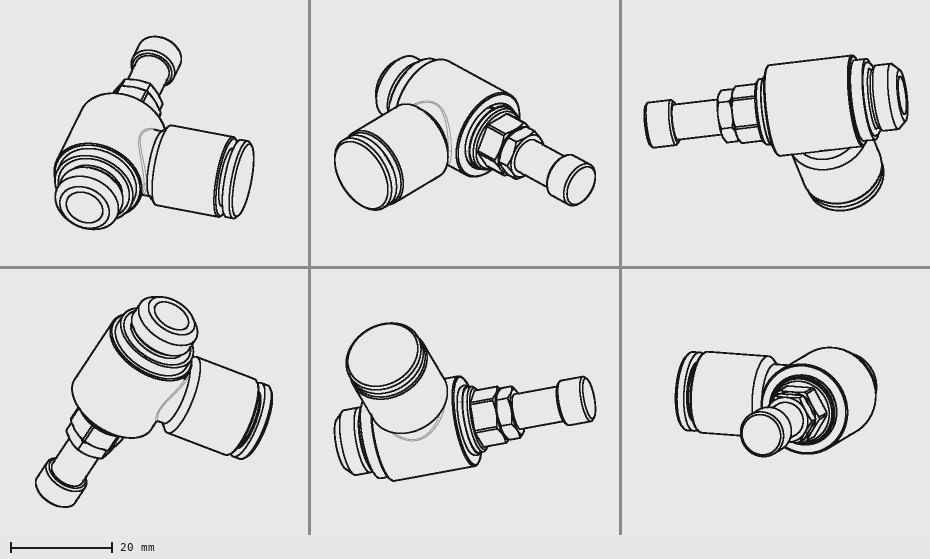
import cadquery as cq
import math


SLEEVE_DIA = 18.0
SLEEVE_START = 8.75
SLEEVE_END = 25.9
SLEEVE_CHAMFER = 0.25
BORE_DIA = 10.2

BRANCH_Y = (SLEEVE_START + SLEEVE_END) / 2
NECK_DIA = 13.05
NECK_END = 9.55
SOCKET_DIA = 16.0
SOCKET_END = 24.05
SOCKET_CHAMFER = 0.3
GROOVE_DIA = 11.6
GROOVE_CONE_DIA = 11.95
GROOVE_CONE_START = 25.1
RELEASE_DIA = 15.5
RELEASE_START = 25.35
RELEASE_CHAMFER = 0.5
OVERALL_WIDTH = 36.25
BRANCH_END = OVERALL_WIDTH - SLEEVE_DIA / 2
ROOT_FILLET = 0.4

THREAD_DIA = 13.0
TIP_DIA = 10.15
TIP_LENGTH = 1.55
THREAD_END = 4.55
LEAD_OUT_END = 5.2
UNDERCUT_DIA = 11.65
SEAL_DIA = 14.6
FLANGE_DIA = 16.0
FLANGE_START = 6.3
FLANGE_END = 8.65

INLET_DIA = 7.5
INLET_DEPTH = 10.2
ORIFICE_DIA = 4.5
ORIFICE_END = 15.3

COLLAR_DIA = 13.05
COLLAR_START = 27.0
COLLAR_END = 28.3
COLLAR_CHAMFER = 0.4
RING_DIA = 14.0
RING_EDGE_DIA = 13.45
RING_GAP = 0.45

BODY_HEX_FLATS = 10.0
BODY_HEX_CORNER_DIA = 11.25
BODY_HEX_END = 33.25
NUT_FLATS = 9.0
NUT_END = 36.2
HEX_CHAMFER_ANGLE = 30.0
HEX_HALF_ANGLE = 30.0

SHANK_DIA = 7.0
KNOB_DIA = 9.0
KNOB_START = 45.55
KNOB_END = 51.0
KNOB_CHAMFER = 0.45


def rod(diameter, start, end):
    """Cylinder on the stem axis between two Y stations (the XZ plane faces -Y)."""
    return cq.Workplane("XZ", origin=(0, start, 0)).circle(diameter / 2).extrude(start - end)


def branch_rod(diameter, start, end):
    """Cylinder on the branch axis between two X stations."""
    return cq.Workplane("YZ", origin=(start, BRANCH_Y, 0)).circle(diameter / 2).extrude(end - start)


def chamfered_hex(flats, corner_dia, start, end, both_ends):
    """Hexagonal prism with corners on +X and -X, cut by a turned, chamfered envelope."""
    sharp_dia = flats / math.cos(math.radians(HEX_HALF_ANGLE))
    prism = cq.Workplane("XZ", origin=(0, start, 0)).polygon(6, sharp_dia).extrude(start - end)
    face_radius = flats / 2
    corner_radius = corner_dia / 2
    drop = (corner_radius - face_radius) * math.tan(math.radians(HEX_CHAMFER_ANGLE))
    outline = cq.Workplane("XY").moveTo(0, start)
    if both_ends:
        outline = outline.lineTo(face_radius, start).lineTo(corner_radius, start + drop)
    else:
        outline = outline.lineTo(corner_radius, start)
    envelope = (
        outline.lineTo(corner_radius, end - drop)
        .lineTo(face_radius, end)
        .lineTo(0, end)
        .close()
        .revolve(360, (0, 0, 0), (0, 1, 0))
    )
    return prism.intersect(envelope)


def make_branch_head():
    """Socket with its conical shoulder, the groove and the release button."""
    shoulder = (SOCKET_DIA - NECK_DIA) / 2
    socket = (
        branch_rod(SOCKET_DIA, NECK_END, SOCKET_END)
        .faces("<X").chamfer(shoulder)
        .faces(">X").chamfer(SOCKET_CHAMFER)
    )
    groove = branch_rod(GROOVE_DIA, SOCKET_END, RELEASE_START)
    groove_cone = (
        cq.Workplane("YZ", origin=(GROOVE_CONE_START, BRANCH_Y, 0)).circle(GROOVE_DIA / 2)
        .workplane(offset=RELEASE_START - GROOVE_CONE_START).circle(GROOVE_CONE_DIA / 2)
        .loft()
    )
    release = branch_rod(RELEASE_DIA, RELEASE_START, BRANCH_END).faces(">X").chamfer(RELEASE_CHAMFER)
    return socket.union(groove).union(groove_cone).union(release)


def make_elbow():
    """Sleeve with the tube branch on its side, bored for the stem."""
    sleeve = rod(SLEEVE_DIA, SLEEVE_START, SLEEVE_END).faces("<Y or >Y").chamfer(SLEEVE_CHAMFER)
    neck = branch_rod(NECK_DIA, 0, NECK_END)
    around_root = cq.selectors.BoxSelector(
        (0, BRANCH_Y - NECK_DIA / 2, -NECK_DIA / 2),
        (NECK_END - ROOT_FILLET / 2, BRANCH_Y + NECK_DIA / 2, NECK_DIA / 2),
    )
    joined = sleeve.union(neck).edges(around_root).edges("not %LINE").fillet(ROOT_FILLET)
    bore = rod(BORE_DIA, SLEEVE_START, SLEEVE_END)
    return joined.union(make_branch_head()).cut(bore)


def make_threaded_end():
    """Turned thread, undercut and flange, with a round seal half sunk in the flange."""
    thread_radius = THREAD_DIA / 2
    undercut_radius = UNDERCUT_DIA / 2
    flange_radius = FLANGE_DIA / 2
    seal_section_radius = (SEAL_DIA - UNDERCUT_DIA) / 4
    seal_centre_radius = SEAL_DIA / 2 - seal_section_radius
    turned = (
        cq.Workplane("XY")
        .moveTo(0, 0)
        .lineTo(TIP_DIA / 2, 0)
        .lineTo(thread_radius, TIP_LENGTH)
        .lineTo(thread_radius, THREAD_END)
        .lineTo(undercut_radius, LEAD_OUT_END)
        .lineTo(undercut_radius, FLANGE_START)
        .threePointArc(
            (seal_centre_radius, FLANGE_START - seal_section_radius),
            (SEAL_DIA / 2, FLANGE_START),
        )
        .lineTo(flange_radius, FLANGE_START)
        .lineTo(flange_radius, FLANGE_END)
        .lineTo(0, FLANGE_END)
        .close()
    )
    return turned.revolve(360, (0, 0, 0), (0, 1, 0))


def make_snap_ring():
    """Bulging ring lying on the sleeve, with a narrow gap on its +Z side."""
    mid_height = (SLEEVE_END + COLLAR_START) / 2
    ring = (
        cq.Workplane("XY")
        .moveTo(BORE_DIA / 2, SLEEVE_END)
        .lineTo(RING_EDGE_DIA / 2, SLEEVE_END)
        .threePointArc((RING_DIA / 2, mid_height), (RING_EDGE_DIA / 2, COLLAR_START))
        .lineTo(BORE_DIA / 2, COLLAR_START)
        .close()
        .revolve(360, (0, 0, 0), (0, 1, 0))
    )
    gap = cq.Workplane("XY", origin=(0, mid_height, 0)).box(
        RING_GAP, COLLAR_START - SLEEVE_END, RING_DIA, centered=(True, True, False)
    )
    return ring.cut(gap)


def make_knob():
    """Shank and chamfered knob."""
    shank = rod(SHANK_DIA, NUT_END, KNOB_START)
    knob = rod(KNOB_DIA, KNOB_START, KNOB_END).faces("<Y or >Y").chamfer(KNOB_CHAMFER)
    return shank.union(knob)


def make_stem():
    """Whole stem, from the threaded end to the knob."""
    core = rod(BORE_DIA, FLANGE_END, COLLAR_START)
    collar = rod(COLLAR_DIA, COLLAR_START, COLLAR_END).faces(">Y").chamfer(COLLAR_CHAMFER)
    body_hex = chamfered_hex(BODY_HEX_FLATS, BODY_HEX_CORNER_DIA, COLLAR_END, BODY_HEX_END, False)
    nut_corner_dia = NUT_FLATS / math.cos(math.radians(HEX_HALF_ANGLE))
    nut = chamfered_hex(NUT_FLATS, nut_corner_dia, BODY_HEX_END, NUT_END, True)
    stem = make_threaded_end()
    for section in (core, make_snap_ring(), collar, body_hex, nut, make_knob()):
        stem = stem.union(section)
    stem = stem.cut(rod(INLET_DIA, 0, INLET_DEPTH))
    return stem.cut(rod(ORIFICE_DIA, INLET_DEPTH, ORIFICE_END))


elbow = make_elbow()
stem = make_stem()

result = cq.Compound.makeCompound([*elbow.solids().vals(), *stem.solids().vals()])